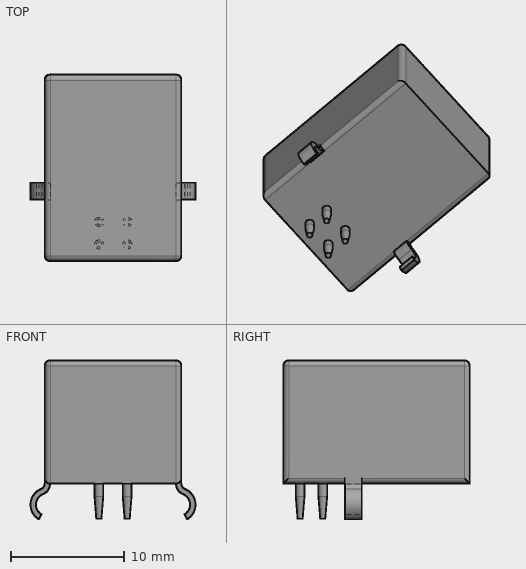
import cadquery as cq
import math

body_width = 12.1
body_depth = 16.5
body_height = 10.9
edge_radius = 0.5
total_width = 14.6
total_height = 14.05

clip_thickness = 0.5
clip_width = 1.5
clip_y = -2.05
neck_radius = 0.5
hook_radius = 1.5

pin_diameter = 0.8
pin_tip_diameter = 0.47
pin_length = 3.12
pin_straight_length = 1.12
pin_columns = (-1.25, 1.25)
pin_rows = (-6.75, -4.75)
pin_embed = 0.5


def make_body():
    """Box with every edge rounded except the two bottom edges along X."""
    box = cq.Workplane("XY").box(body_width, body_depth, body_height, centered=(True, True, False))
    return box.edges("|Z or |Y or >Z").fillet(edge_radius)


def polar(center, radius, angle):
    """Point on a circle, as (x, z), at an angle measured from +X."""
    return (center[0] + radius * math.cos(angle), center[1] + radius * math.sin(angle))


def make_clip():
    """S-shaped strip on the +X side: flush with the body wall, then out and back into a hook."""
    wall_x = body_width / 2
    inner_wall_x = wall_x - clip_thickness
    neck_center = (wall_x + neck_radius, 0)
    neck_outer_radius = neck_radius + clip_thickness
    hook_inner_radius = hook_radius - clip_thickness

    hook_center_x = total_width / 2 - hook_radius
    center_distance = neck_radius + hook_radius
    join_angle = math.acos((neck_center[0] - hook_center_x) / center_distance)
    hook_center = (hook_center_x, -center_distance * math.sin(join_angle))
    neck_angle = math.pi + join_angle
    neck_middle = (math.pi + neck_angle) / 2

    lowest_z = body_height - total_height
    tip_angle = math.asin((lowest_z - hook_center[1]) / hook_radius)
    hook_middle = (join_angle + tip_angle) / 2

    profile = (
        cq.Workplane("XZ", origin=(0, clip_y + clip_width / 2, 0))
        .moveTo(inner_wall_x, edge_radius)
        .lineTo(wall_x, edge_radius)
        .lineTo(wall_x, 0)
        .threePointArc(
            polar(neck_center, neck_radius, neck_middle),
            polar(neck_center, neck_radius, neck_angle),
        )
        .threePointArc(
            polar(hook_center, hook_radius, hook_middle),
            polar(hook_center, hook_radius, tip_angle),
        )
        .lineTo(*polar(hook_center, hook_inner_radius, tip_angle))
        .threePointArc(
            polar(hook_center, hook_inner_radius, hook_middle),
            polar(hook_center, hook_inner_radius, join_angle),
        )
        .threePointArc(polar(neck_center, neck_outer_radius, neck_middle), (inner_wall_x, 0))
        .close()
    )
    return profile.extrude(clip_width)


def make_pin(x, y):
    """Round pin with a straight shank and a tapered end, pointing down."""
    radius = pin_diameter / 2
    tip_radius = pin_tip_diameter / 2
    half_section = (
        cq.Workplane("XZ")
        .moveTo(0, pin_embed)
        .lineTo(radius, pin_embed)
        .lineTo(radius, -pin_straight_length)
        .lineTo(tip_radius, -pin_length)
        .lineTo(0, -pin_length)
        .close()
    )
    return half_section.revolve(360, (0, 0, 0), (0, 1, 0)).translate((x, y, 0))


clip = make_clip()
result = make_body().union(clip).union(clip.mirror("YZ"))
for pin_x in pin_columns:
    for pin_y in pin_rows:
        result = result.union(make_pin(pin_x, pin_y))